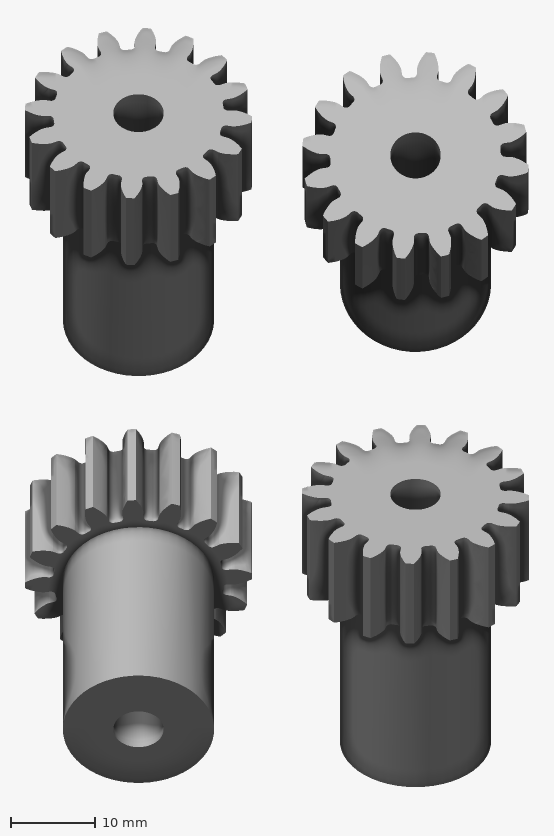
import cadquery as cq
import math

total_height = 37.0
gear_height = 12.0
hub_diameter = 18.0
bore_diameter = 6.0

tooth_count = 16
tip_radius = 13.5
pressure_angle = math.radians(20)
dedendum_factor = 1.25
root_fillet = 0.55
flank_points = 7

module = 2 * tip_radius / (tooth_count + 2)
pitch_radius = module * tooth_count / 2
root_radius = pitch_radius - dedendum_factor * module
base_radius = pitch_radius * math.cos(pressure_angle)
tooth_pitch = 2 * math.pi / tooth_count
tip_roll = math.sqrt((tip_radius / base_radius) ** 2 - 1)
hub_height = total_height - gear_height


def involute(angle):
    """Involute function of a pressure angle."""
    return math.tan(angle) - angle


base_half_angle = tooth_pitch / 4 + involute(pressure_angle)


def polar(radius, angle):
    """Cartesian point at the given radius and angle."""
    return radius * math.cos(angle), radius * math.sin(angle)


def flank(centre_angle, side):
    """Involute points from base circle to tip on one side (-1 or +1) of a tooth."""
    points = []
    for step in range(flank_points):
        roll = tip_roll * step / (flank_points - 1)
        radius = base_radius * math.sqrt(1 + roll**2)
        half_angle = base_half_angle - involute(math.atan(roll))
        points.append(polar(radius, centre_angle + side * half_angle))
    return points


def add_tooth(outline, centre_angle):
    """Continue the outline from a root corner over one tooth to its other root corner."""
    rising = flank(centre_angle, -1)
    falling = flank(centre_angle, 1)[::-1]
    start_angle = centre_angle - base_half_angle
    end_angle = centre_angle + base_half_angle
    rising_tangents = [polar(1, start_angle), polar(1, start_angle + tip_roll)]
    falling_tangents = [polar(-1, end_angle - tip_roll), polar(-1, end_angle)]
    return (
        outline.lineTo(*rising[0])
        .spline(rising[1:], tangents=rising_tangents, includeCurrent=True)
        .threePointArc(polar(tip_radius, centre_angle), falling[0])
        .spline(falling[1:], tangents=falling_tangents, includeCurrent=True)
        .lineTo(*polar(root_radius, end_angle))
    )


def make_gear():
    """Toothed disc with a tooth gap centred on each of the X and Y axes."""
    gap_half_angle = tooth_pitch / 2 - base_half_angle
    outline = cq.Workplane("XY").workplane(offset=hub_height)
    outline = outline.moveTo(*polar(root_radius, gap_half_angle))
    for index in range(tooth_count):
        tooth_angle = (index + 0.5) * tooth_pitch
        gap_angle = tooth_angle + tooth_pitch / 2
        outline = add_tooth(outline, tooth_angle).threePointArc(
            polar(root_radius, gap_angle),
            polar(root_radius, gap_angle + gap_half_angle),
        )
    gear = outline.close().extrude(gear_height)

    corner_limit = (root_radius + base_radius) / 2
    root_corners = gear.edges("|Z").filter(
        lambda edge: math.hypot(edge.Center().x, edge.Center().y) < corner_limit
    )
    return root_corners.fillet(root_fillet)


hub = cq.Workplane("XY").circle(hub_diameter / 2).extrude(hub_height)
bore = cq.Workplane("XY").circle(bore_diameter / 2).extrude(total_height)

result = hub.union(make_gear()).cut(bore)